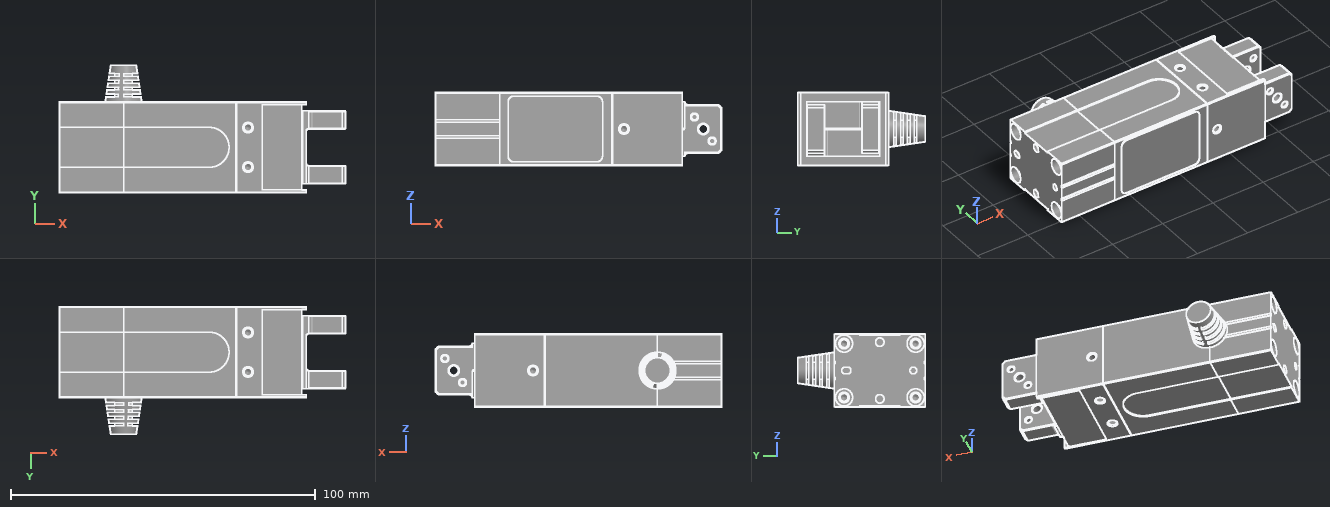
import cadquery as cq
import math


WIDTH = 30.0
HEIGHT = 24.0
HALF_WIDTH = WIDTH / 2
HALF_HEIGHT = HEIGHT / 2
REAR_END = 21.0
MIDDLE_END = 57.9
JOINT_GAP = 0.2
FRONT_START = MIDDLE_END + JOINT_GAP
FRONT_END = 81.0
EDGE_CHAMFER = 0.3

CHANNEL_WIDTH = 13.1
CHANNEL_END = 55.7
CHANNEL_DEPTH = 0.5

WINDOW_START = 23.85
WINDOW_END = 54.8
WINDOW_HEIGHT = 21.6
WINDOW_RADIUS = 2.0
WINDOW_DEPTH = 0.2

GROOVE_DIAMETER = 0.8
GROOVE_Z = 2.6

MOUNT_Y = 11.7
MOUNT_Z = 8.8
COUNTERBORE_DIAMETER = 5.6
COUNTERBORE_DEPTH = 3.0
MOUNT_DIAMETER = 2.6
MOUNT_CHAMFER = 0.4
MOUNT_DEPTH = 7.5
DOWEL_DIAMETER = 2.8
DOWEL_Z = 9.3
LOCATING_DIAMETER = 2.3
LOCATING_Y = 11.0
LOCATING_SLOT_LENGTH = 3.0
PIN_DEPTH = 2.0

TAPPED_X = 61.9
TAPPED_Y = 6.5
TAPPED_DIAMETER = 2.6
TAPPED_DEPTH = 5.6
TAPPED_CHAMFER = 0.4
DRILL_POINT_ANGLE = 118

CHEEK = 1.0
BLOCK_START = 66.5
BLOCK_END = 79.5

JAW_GAP = 0.3
BASE_FRONT = 81.0
BASE_WIDTH = 24.0
BASE_BOTTOM = 0.2
FINGER_START = 81.8
FINGER_END = 93.9
FINGER_THICKNESS = 6.0
FINGER_HALF_HEIGHT = 8.0
TOP_ROOT_RADIUS = 1.0
BASE_TOP = FINGER_HALF_HEIGHT + TOP_ROOT_RADIUS
BACK_ROOT_RADIUS = FINGER_START - BASE_FRONT
TIP_CHAMFER = 1.0
FINGER_EDGE_CHAMFER = 0.3
PIN_HOLE_X = 87.9
PIN_HOLE_DIAMETER = 3.1
SCREW_HOLE_DIAMETER = 2.0
SCREW_OFFSET_X = 2.9
SCREW_OFFSET_Z = 3.9
HOLE_CHAMFER = 0.3

GLAND_LENGTH = 12.0
GLAND_BASE_RADIUS = 6.0
GLAND_TIP_RADIUS = 4.2
GLAND_CORE_RADIUS = 2.9
GLAND_GROOVES = 4
GLAND_GROOVE_WIDTH = 0.8
GLAND_GROOVE_PITCH = 2.3
GLAND_FIRST_GROOVE = 2.8
GLAND_RIB_ANGLE = 18


def box(x0, x1, y0, y1, z0, z1):
    """Box between the given limits."""
    return cq.Workplane("XY").box(x1 - x0, y1 - y0, z1 - z0, centered=False).translate((x0, y0, z0))


def housing_section(x0, x1):
    """Length of housing with its four long edges chamfered."""
    section = box(x0, x1, -HALF_WIDTH, HALF_WIDTH, -HALF_HEIGHT, HALF_HEIGHT)
    return section.edges("|X").chamfer(EDGE_CHAMFER)


def channel_cutter():
    """Channels on both the top and the bottom, running in from the rear face."""
    half = CHANNEL_WIDTH / 2
    arc_start = CHANNEL_END - half
    outline = (
        cq.Workplane("XY")
        .moveTo(0, -half)
        .lineTo(arc_start, -half)
        .threePointArc((CHANNEL_END, 0), (arc_start, half))
        .lineTo(0, half)
        .close()
        .extrude(CHANNEL_DEPTH)
    )
    top = outline.translate((0, 0, HALF_HEIGHT - CHANNEL_DEPTH))
    bottom = outline.translate((0, 0, -HALF_HEIGHT))
    return top.union(bottom)


def drilled_hole(mouth, direction, diameter, depth, chamfer):
    """Cutter for a blind hole with a chamfered mouth and a conical drill point."""
    radius = diameter / 2
    point = radius / math.tan(math.radians(DRILL_POINT_ANGLE / 2))
    cutter = (
        cq.Workplane("XZ")
        .polyline([
            (0, 0),
            (radius + chamfer, 0),
            (radius, chamfer),
            (radius, depth),
            (0, depth + point),
        ])
        .close()
        .revolve(360, (0, 0, 0), (0, 1, 0))
    )
    plane = cq.Plane(origin=mouth, normal=direction)
    return cutter.val().moved(cq.Location(plane))


def rear_housing():
    body = housing_section(0, REAR_END).cut(channel_cutter())

    for side in (-1, 1):
        for z in (-GROOVE_Z, GROOVE_Z):
            groove = cq.Workplane("YZ", origin=(0, side * HALF_WIDTH, z)).circle(GROOVE_DIAMETER / 2)
            body = body.cut(groove.extrude(REAR_END))

    for y in (-MOUNT_Y, MOUNT_Y):
        for z in (-MOUNT_Z, MOUNT_Z):
            counterbore = cq.Workplane("YZ", origin=(0, y, z)).circle(COUNTERBORE_DIAMETER / 2)
            body = body.cut(counterbore.extrude(COUNTERBORE_DEPTH))
            mouth = (COUNTERBORE_DEPTH, y, z)
            body = body.cut(drilled_hole(mouth, (1, 0, 0), MOUNT_DIAMETER, MOUNT_DEPTH, MOUNT_CHAMFER))

    dowels = cq.Workplane("YZ").pushPoints([(0, -DOWEL_Z), (0, DOWEL_Z)]).circle(DOWEL_DIAMETER / 2)
    locating_hole = cq.Workplane("YZ", origin=(0, -LOCATING_Y, 0)).circle(LOCATING_DIAMETER / 2)
    locating_slot = cq.Workplane("YZ", origin=(0, LOCATING_Y, 0))
    locating_slot = locating_slot.slot2D(LOCATING_SLOT_LENGTH, LOCATING_DIAMETER)
    for pin_hole in (dowels, locating_hole, locating_slot):
        body = body.cut(pin_hole.extrude(PIN_DEPTH))
    return body


def middle_housing():
    body = housing_section(REAR_END, MIDDLE_END).cut(channel_cutter())
    window = box(
        WINDOW_START, WINDOW_END,
        -HALF_WIDTH, -HALF_WIDTH + WINDOW_DEPTH,
        -WINDOW_HEIGHT / 2, WINDOW_HEIGHT / 2,
    )
    return body.cut(window.edges("|Y").fillet(WINDOW_RADIUS))


def guide_block():
    inner = HALF_WIDTH - CHEEK
    return box(BLOCK_START, BLOCK_END, -inner, inner, -HALF_HEIGHT, HALF_HEIGHT)


def front_housing():
    inner = HALF_WIDTH - CHEEK
    slot = box(BLOCK_START, FRONT_END, -inner, inner, -HALF_HEIGHT, HALF_HEIGHT)
    body = housing_section(FRONT_START, FRONT_END).cut(slot)

    for side in (-1, 1):
        mouth = (TAPPED_X, side * HALF_WIDTH, 0)
        body = body.cut(drilled_hole(mouth, (0, -side, 0), TAPPED_DIAMETER, TAPPED_DEPTH, TAPPED_CHAMFER))
        for y in (-TAPPED_Y, TAPPED_Y):
            mouth = (TAPPED_X, y, side * HALF_HEIGHT)
            body = body.cut(drilled_hole(mouth, (0, 0, -side), TAPPED_DIAMETER, TAPPED_DEPTH, TAPPED_CHAMFER))
    return body


def root_fillet(plane, corner, toward, radius, length):
    """Strip with a concave face that fills an inside corner, extruded by `length` from the plane."""
    u, v = corner
    du = toward[0] * radius
    dv = toward[1] * radius
    bulge = 1 - math.sqrt(0.5)
    return (
        cq.Workplane(plane)
        .moveTo(u, v)
        .lineTo(u + du, v)
        .threePointArc((u + du * bulge, v + dv * bulge), (u, v + dv))
        .close()
        .extrude(length)
    )


def through_hole(x, z, diameter):
    """Cutter for a hole through the +Y finger with both mouths chamfered."""
    half = FINGER_THICKNESS / 2
    radius = diameter / 2
    wide = radius + HOLE_CHAMFER
    neck = half - HOLE_CHAMFER
    profile = [(0, -half), (wide, -half), (radius, -neck), (radius, neck), (wide, half), (0, half)]
    cutter = cq.Workplane("XY").polyline(profile).close().revolve(360, (0, 0, 0), (0, 1, 0))
    return cutter.translate((x, BASE_WIDTH / 2 - half, z))


def jaw():
    """Jaw with its finger on the +Y side and its base in the upper half."""
    outer = BASE_WIDTH / 2
    inner = outer - FINGER_THICKNESS

    finger = box(FINGER_START, FINGER_END, inner, outer, -FINGER_HALF_HEIGHT, FINGER_HALF_HEIGHT)
    finger = finger.edges("|Y and >X").chamfer(TIP_CHAMFER)
    finger = finger.faces("<Y or >Y").edges("not <X").chamfer(FINGER_EDGE_CHAMFER)

    base = box(BLOCK_END + JAW_GAP, BASE_FRONT, -outer, outer, BASE_BOTTOM, BASE_TOP)
    shoulder = box(BASE_FRONT, FINGER_START, inner, outer, BASE_BOTTOM, BASE_TOP)
    body = base.union(shoulder).union(finger)

    top_plane = cq.Plane(origin=(0, outer - FINGER_EDGE_CHAMFER, 0), xDir=(1, 0, 0), normal=(0, -1, 0))
    top_corner = (FINGER_START, FINGER_HALF_HEIGHT)
    top_length = FINGER_THICKNESS - 2 * FINGER_EDGE_CHAMFER
    body = body.union(root_fillet(top_plane, top_corner, (1, 1), TOP_ROOT_RADIUS, top_length))

    back_plane = cq.Plane(origin=(0, outer, 0), xDir=(1, 0, 0), normal=(0, -1, 0))
    back_corner = (FINGER_START, BASE_BOTTOM)
    body = body.union(root_fillet(back_plane, back_corner, (-1, -1), BACK_ROOT_RADIUS, FINGER_THICKNESS))

    inner_plane = cq.Plane(origin=(0, 0, BASE_BOTTOM))
    inner_corner = (BASE_FRONT, inner)
    inner_length = BASE_TOP - BASE_BOTTOM
    body = body.union(root_fillet(inner_plane, inner_corner, (1, -1), BACK_ROOT_RADIUS, inner_length))

    body = body.cut(through_hole(PIN_HOLE_X, 0, PIN_HOLE_DIAMETER))
    for side in (-1, 1):
        x = PIN_HOLE_X + side * SCREW_OFFSET_X
        body = body.cut(through_hole(x, side * SCREW_OFFSET_Z, SCREW_HOLE_DIAMETER))
    return body


def cable_gland():
    """Tapered gland on the +Y side, with ring grooves broken by two opposite ribs."""
    tip_y = HALF_WIDTH + GLAND_LENGTH
    profile = [
        (HALF_WIDTH, 0),
        (HALF_WIDTH, GLAND_BASE_RADIUS),
        (tip_y, GLAND_TIP_RADIUS),
        (tip_y, 0),
    ]
    body = cq.Workplane("YZ").polyline(profile).close().revolve(360, (0, 0), (1, 0))

    for index in range(GLAND_GROOVES):
        far_side = tip_y - GLAND_FIRST_GROOVE - index * GLAND_GROOVE_PITCH
        near_side = far_side - GLAND_GROOVE_WIDTH
        section = [
            (near_side, GLAND_CORE_RADIUS),
            (near_side, GLAND_BASE_RADIUS),
            (far_side, GLAND_BASE_RADIUS),
            (far_side, GLAND_CORE_RADIUS),
        ]
        half_ring = cq.Workplane("YZ").polyline(section).close()
        half_ring = half_ring.revolve(180 - GLAND_RIB_ANGLE, (0, 0), (1, 0))
        for start in (0, 180):
            body = body.cut(half_ring.rotate((0, 0, 0), (0, 1, 0), start))
    return body.translate((REAR_END, 0, 0))


upper_jaw = jaw()
lower_jaw = upper_jaw.rotate((0, 0, 0), (1, 0, 0), 180)

result = cq.Compound.makeCompound([
    rear_housing().val(),
    middle_housing().val(),
    front_housing().val(),
    guide_block().val(),
    upper_jaw.val(),
    lower_jaw.val(),
    cable_gland().val(),
])